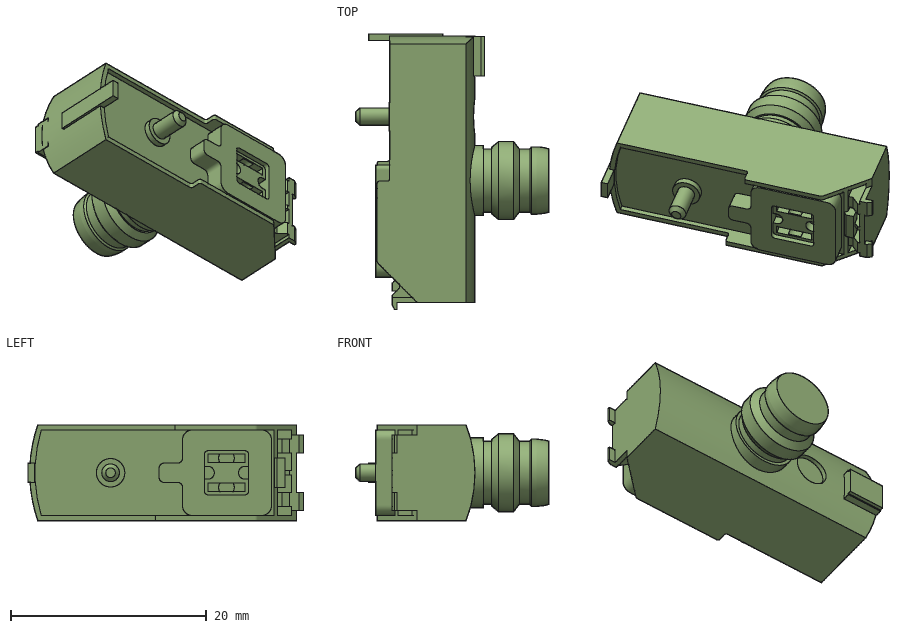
import cadquery as cq
import math

half_width = 4.9
wall = 0.54
inner_half = half_width - wall
back_peak = 8.7
back_edge = 7.8
end_peak = 27.27
end_edge = 26.45
end_rim = 0.54
tray_end_edge = 26.08
chamfer_reach = 2.82

ear_height = 1.27
ear_round = 0.23
ear_heel_round = 0.37
upper_ear_end = 12.4
lower_ear_end = 14.45

plug_height = 1.45
plug_start = 2.57
plug_end = 11.65
plug_round = 1.0
tongue_end = 14.05
tongue_half = 1.0
tongue_round = 0.5

window_center = 7.15
window_size = 4.5
window_round = 0.37
window_depth = 0.54
slot_length = 3.75
slot_width = 0.85
slot_offset = 1.5
slot_depth = 1.0
contact_diameter = 1.6
contact_top = 0.15
contact_bottom = 1.4
notch_width = 1.33
notch_length = 1.02

end_wall = 0.5
chamber_end = 1.95
chamber_depth = 3.95
latch_face = 0.25
plate_half = 3.85
brace_base = 0.73
brace_depth = 1.02
brace_inner = 2.0
brace_outer = 3.45
rib_half = 0.23
catch_half = 1.52
catch_start = 1.15
catch_end = 1.97
catch_depth = 1.4
lip_reach = 0.73
lip_bevel_start = 0.25
lip_tip = 0.5
lip_back = 0.75

hook_front = 2.15
hook_back = 5.45
hook_top = 27.47
hook_thickness = 0.7
hook_half = 1.0

screw_y = 19.0
pin_diameter = 1.8
pin_tip_diameter = 1.0
pin_reach = 3.47
pin_bevel = 0.42
collar_diameter = 2.9
collar_height = 0.08
recess_diameter = 3.6
recess_depth = 0.55

tab_start = 23.15
tab_end = 27.2
tab_half = 1.8
tab_step = 9.33
tab_top = 9.7
tab_top_inset = 0.17

connector_y = 12.46
connector_root = 7.05
connector_stations = [
    (connector_root, 7.2), (9.6, 7.2),
    (9.6, 6.5), (10.43, 6.5), (10.43, 6.82),
    (11.15, 8.0), (12.65, 8.0),
    (13.25, 6.5), (14.33, 6.5),
    (14.5, 6.9), (15.03, 6.9),
]
nose_middle = (15.68, 6.8)
nose_end = (16.27, 6.5)


def box(x0, x1, y0, y1, z0, z1):
    return cq.Workplane("XY").box(x1 - x0, y1 - y0, z1 - z0, centered=False).translate((x0, y0, z0))


def prism(points, z0, z1):
    """XY polygon extruded from z0 to z1."""
    return cq.Workplane("XY").workplane(offset=z0).polyline(points).close().extrude(z1 - z0)


def cylinder(x0, x1, diameter, y):
    return cq.Workplane("YZ", origin=(x0, y, 0)).circle(diameter / 2).extrude(x1 - x0)


def crowned_end(y0, peak, edge, half, x0, x1):
    """Prism along X from y0 to a curved end with the given crown and edge positions."""
    return (
        cq.Workplane("YZ", origin=(x0, 0, 0))
        .moveTo(y0, -half)
        .lineTo(edge, -half)
        .threePointArc((peak, 0), (edge, half))
        .lineTo(y0, half)
        .close()
        .extrude(x1 - x0)
    )


def housing():
    length_form = crowned_end(0, end_peak, end_edge, half_width, 0, back_peak)
    section_form = (
        cq.Workplane("XZ")
        .moveTo(0, -half_width)
        .lineTo(back_edge, -half_width)
        .threePointArc((back_peak, 0), (back_edge, half_width))
        .lineTo(0, half_width)
        .close()
        .extrude(-end_peak)
    )
    return length_form.intersect(section_form)


def ear(y_end, z0):
    """Raised stretch of one side wall, rounded where it steps down to the open face."""
    near = ear_round * (1 - math.sqrt(0.5))
    return (
        cq.Workplane("XY").workplane(offset=z0)
        .moveTo(wall, 0)
        .lineTo(wall, y_end + ear_round)
        .lineTo(0, y_end + ear_round)
        .threePointArc((-near, y_end + near), (-ear_round, y_end))
        .lineTo(ear_round - ear_height, y_end)
        .threePointArc((near - ear_height, y_end - near), (-ear_height, y_end - ear_round))
        .lineTo(-ear_height, 0)
        .close()
        .extrude(wall)
    )


def tray():
    """Shallow open cavity following the curved far end."""
    return crowned_end(chamber_end, end_peak - end_rim, tray_end_edge, inner_half, 0, wall)


def near_end_chamfer():
    beyond = 2 * ear_height
    return prism(
        [(chamfer_reach, 0), (-beyond, chamfer_reach + beyond), (-beyond, 0)], -half_width, half_width
    )


def round_ear_heels(body):
    """Round both ears where they turn into the near-end chamfer."""
    heel_y = chamfer_reach + ear_height
    margin = 0.03
    heels = cq.selectors.BoxSelector(
        (-ear_height - margin, heel_y - margin, -half_width),
        (-ear_height + margin, heel_y + margin, half_width),
    )
    return body.edges("|Z").edges(heels).fillet(ear_heel_round)


def plug():
    block = (
        box(-plug_height, wall, plug_start, plug_end, -inner_half, inner_half)
        .edges("|X").fillet(plug_round)
    )
    tongue = (
        box(-plug_height, wall, window_center, tongue_end, -tongue_half, tongue_half)
        .edges("|X and >Y").fillet(tongue_round)
    )
    body = block.union(tongue)
    margin = 0.03
    root_corners = cq.selectors.BoxSelector(
        (-plug_height, plug_end - margin, -tongue_half - margin),
        (wall, plug_end + margin, tongue_half + margin),
    )
    return body.edges("|X").edges(root_corners).fillet(tongue_round)


def window():
    """Stepped opening: a square recess, two slots over contact bores and two round-ended notches."""
    half = window_size / 2
    floor = window_depth - plug_height
    cut = (
        box(-plug_height, floor, window_center - half, window_center + half, -half, half)
        .edges("|X").fillet(window_round)
    )
    for side in (-1, 1):
        z_mid = side * slot_offset
        cut = cut.union(box(
            floor, floor + slot_depth,
            window_center - slot_length / 2, window_center + slot_length / 2,
            z_mid - slot_width / 2, z_mid + slot_width / 2,
        ))
        contact_bore = cylinder(
            floor + contact_top, floor + contact_bottom, contact_diameter, window_center
        )
        cut = cut.union(contact_bore.translate((0, 0, z_mid)))
        edge_y = window_center + side * half
        round_y = edge_y - side * (notch_length - notch_width / 2)
        notch = cylinder(floor, floor + slot_depth, notch_width, round_y).union(box(
            floor, floor + slot_depth, min(edge_y, round_y), max(edge_y, round_y),
            -notch_width / 2, notch_width / 2,
        ))
        notch = notch.intersect(box(
            floor, floor + slot_depth, window_center - half, window_center + half, -half, half
        ))
        cut = cut.union(notch)
    return cut


def brace(z0, z1):
    """Sloped support between the near-end wall and the divider."""
    slope_run = brace_depth - latch_face
    return prism(
        [
            (latch_face, 0), (latch_face, brace_base), (brace_depth, brace_base + slope_run),
            (brace_depth, chamber_end), (chamber_depth, chamber_end), (chamber_depth, 0),
        ],
        z0, z1,
    )


def lip(z0, z1):
    return prism(
        [
            (latch_face, 0), (latch_face, -lip_bevel_start), (lip_tip, -lip_reach),
            (lip_back, -lip_reach), (lip_back, 0),
        ],
        z0, z1,
    )


def latch():
    parts = box(latch_face, chamfer_reach, 0, end_wall, -plate_half, plate_half)
    parts = parts.union(brace(-rib_half, rib_half))
    for z0, z1 in ((brace_inner, brace_outer), (-brace_outer, -brace_inner)):
        parts = parts.union(brace(z0, z1))
    for z0, z1 in ((brace_inner, plate_half), (-plate_half, -brace_inner)):
        parts = parts.union(lip(z0, z1))
    bevel_end = catch_end + wall - latch_face
    catch = prism(
        [
            (latch_face, catch_start), (latch_face, catch_end), (wall, bevel_end),
            (catch_depth, bevel_end), (catch_depth, catch_start),
        ],
        -catch_half, catch_half,
    )
    return parts.union(catch)


def screw_pin():
    return (
        cylinder(-pin_reach, wall, pin_diameter, screw_y)
        .faces("<X").chamfer(pin_bevel, (pin_diameter - pin_tip_diameter) / 2)
        .union(cylinder(-collar_height, wall, collar_diameter, screw_y))
    )


def marker_tab():
    base = box(back_edge, tab_step, tab_start, tab_end, -tab_half, tab_half)
    top_half = tab_half - tab_top_inset
    return base.union(box(tab_step, tab_top, tab_start, tab_end, -top_half, top_half))


def connector():
    outline = [(x, diameter / 2) for x, diameter in connector_stations]
    nose_middle_point, nose_end_point = ((x, diameter / 2) for x, diameter in (nose_middle, nose_end))
    return (
        cq.Workplane("XY")
        .polyline([(connector_root, 0)] + outline)
        .threePointArc(nose_middle_point, nose_end_point)
        .lineTo(nose_end[0], 0)
        .close()
        .revolve(360, (0, 0, 0), (1, 0, 0))
        .translate((0, connector_y, 0))
    )


result = housing().union(ear(upper_ear_end, inner_half)).union(ear(lower_ear_end, -half_width))
result = result.cut(tray()).cut(near_end_chamfer())
result = round_ear_heels(result)
result = result.cut(box(0, chamber_depth, end_wall, chamber_end, -inner_half, inner_half))
result = result.union(latch())
result = result.union(plug()).cut(window())
result = result.union(screw_pin())
result = result.cut(cylinder(back_peak - recess_depth, back_peak, recess_diameter, screw_y))
result = result.union(box(
    -hook_front, hook_back, hook_top - hook_thickness, hook_top, -hook_half, hook_half
))
result = result.union(marker_tab()).union(connector())